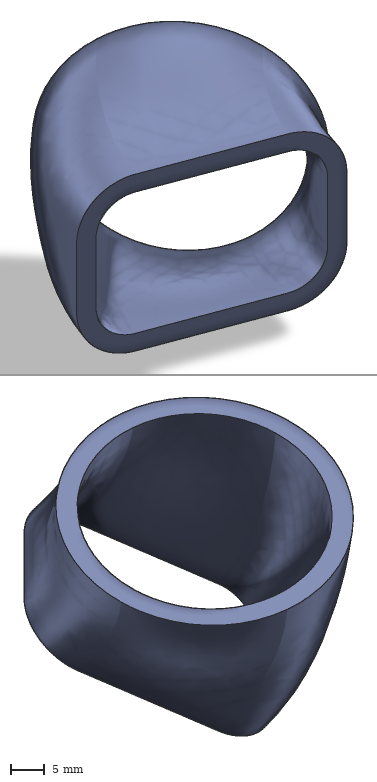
import cadquery as cq
import math

round_diameter = 44.4
rect_width = 44.45
rect_height = 31.85
corner_radius = 9.65
wall = 3.2
bend_radius = 50.8
bend_angle = 30.0
section_count = 7

corner_start_angle = 19.0
corner_end_angle = 56.0


def polar(radius, degrees):
    angle = math.radians(degrees)
    return radius * math.cos(angle), radius * math.sin(angle)


def mix(start, end, amount):
    return tuple(a + (b - a) * amount for a, b in zip(start, end))


def quarter_points(amount, inset):
    """Side middle, corner start, middle and end, and top middle of one quarter section."""
    half_width = rect_width / 2 - inset
    half_height = rect_height / 2 - inset
    fillet = corner_radius - inset
    center_u = half_width - fillet
    center_v = half_height - fillet
    diagonal_u, diagonal_v = polar(fillet, 45)
    rect_points = [
        (half_width, 0),
        (half_width, center_v),
        (center_u + diagonal_u, center_v + diagonal_v),
        (center_u, half_height),
        (0, half_height),
    ]
    corner_middle_angle = (corner_start_angle + corner_end_angle) / 2
    angles = [0, corner_start_angle, corner_middle_angle, corner_end_angle, 90]
    radius = round_diameter / 2 - inset
    return [mix(p, polar(radius, a), amount) for p, a in zip(rect_points, angles)]


def section_wire(position, inset):
    """Closed section at a fraction of the bend: 0 is the rectangular end, 1 the round end."""
    amount = position**2 * (3 - 2 * position)
    side, start, middle, end, top = quarter_points(amount, inset)

    def mirrored(point, u_sign, v_sign):
        return point[0] * u_sign, point[1] * v_sign

    angle = math.radians(bend_angle * position)
    plane = cq.Plane(
        origin=(-bend_radius * math.sin(angle), bend_radius * (1 - math.cos(angle)), 0),
        xDir=(math.sin(angle), math.cos(angle), 0),
        normal=(math.cos(angle), -math.sin(angle), 0),
    )
    arcs = [
        (side, start, (1, 1)),
        (middle, end, (1, 1)),
        (top, end, (-1, 1)),
        (middle, start, (-1, 1)),
        (side, start, (-1, -1)),
        (middle, end, (-1, -1)),
        (top, end, (1, -1)),
        (middle, start, (1, -1)),
    ]
    outline = cq.Workplane(plane).moveTo(*mirrored(start, 1, -1))
    for index, (via, target, signs) in enumerate(arcs):
        is_flat = position == 0 and index % 2 == 0
        if is_flat:
            outline = outline.lineTo(*mirrored(target, *signs))
        else:
            outline = outline.threePointArc(mirrored(via, *signs), mirrored(target, *signs))
    return outline.close().val()


def bent_transition(inset):
    positions = [index / (section_count - 1) for index in range(section_count)]
    wires = [section_wire(position, inset) for position in positions]
    return cq.Workplane(cq.Solid.makeLoft(wires))


result = bent_transition(0).cut(bent_transition(wall))